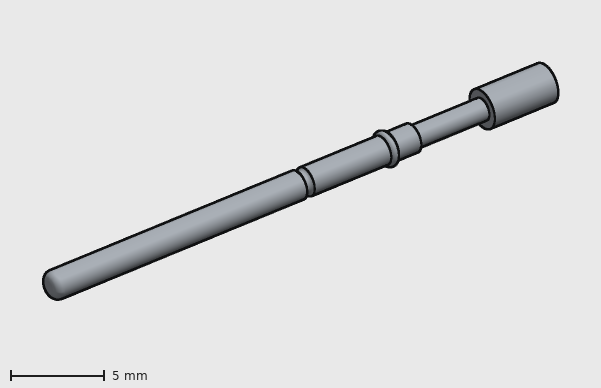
import cadquery as cq

total_length = 32.8

head_diameter = 2.3
plunger_diameter = 1.3
barrel_diameter = 1.67
collar_diameter = 2.05
groove_diameter = 1.3

head_length = 4.2
barrel_start = 8.82
collar_center = 10.55
collar_width = 0.5
groove_center = 16.1
groove_width = 0.5
tail_fillet = 0.45

head_end_y = total_length / 2


def cylinder(diameter, start, end):
    """Cylinder on the Y axis between two distances from the head's end face."""
    return (
        cq.Workplane("XZ", origin=(0, head_end_y - start, 0))
        .circle(diameter / 2)
        .extrude(end - start)
    )


def ring(section):
    """Closed section in XY (X is the radius) turned about the Y axis."""
    return section.close().revolve(360, (0, 0, 0), (0, 1, 0))


def barrel():
    body = cylinder(barrel_diameter, barrel_start, total_length)
    return body.faces("<Y").edges().fillet(tail_fillet)


def collar():
    """Rounded press ring: an arc bulging out of the barrel surface."""
    y = head_end_y - collar_center
    half_width = collar_width / 2
    base_radius = barrel_diameter / 2
    section = (
        cq.Workplane("XY")
        .moveTo(0, y + half_width)
        .lineTo(base_radius, y + half_width)
        .threePointArc((collar_diameter / 2, y), (base_radius, y - half_width))
        .lineTo(0, y - half_width)
    )
    return ring(section)


def crimp_groove():
    """Round-bottomed groove, an arc cut into the barrel surface."""
    y = head_end_y - groove_center
    half_width = groove_width / 2
    outer_radius = barrel_diameter / 2
    section = (
        cq.Workplane("XY")
        .moveTo(outer_radius, y + half_width)
        .threePointArc((groove_diameter / 2, y), (outer_radius, y - half_width))
    )
    return ring(section)


head = cylinder(head_diameter, 0, head_length)
plunger = cylinder(plunger_diameter, head_length, barrel_start)

result = head.union(plunger).union(barrel()).union(collar()).cut(crimp_groove())